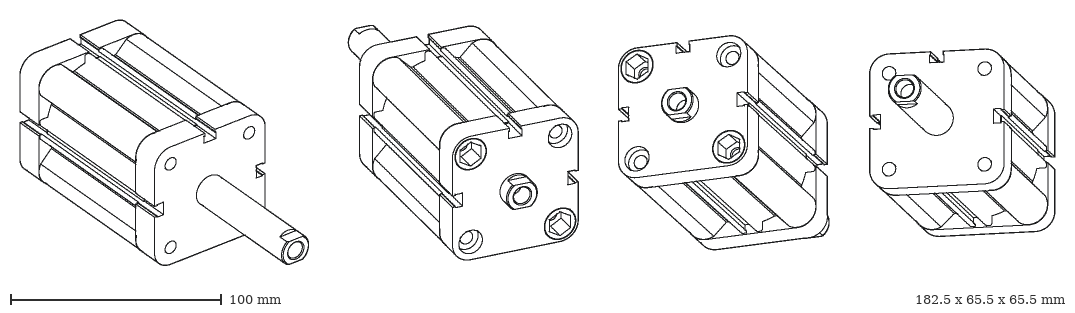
import cadquery as cq
import math

overall_length = 182.5
housing_width = 65.5
cap_length = 15.0
barrel_length = 76.6
rod_stub = 8.0

housing_start = -overall_length / 2 + rod_stub
barrel_start = housing_start + cap_length
barrel_end = barrel_start + barrel_length
housing_end = barrel_end + cap_length
half_width = housing_width / 2

bolt_spacing = 46.5
bolt_offset = bolt_spacing / 2
bolt_bore = 6.5
counterbore_diameter = 12.2
counterbore_depth = 5.0
cap_corner_radius = half_width - bolt_offset

screw_diameter = 15.9
screw_recess_diameter = 16.5
screw_length = 13.0
hex_across_flats = 11.0
hex_half_angle = 30.0
hex_depth = 11.0

cap_slot_opening = 6.0
barrel_slot_opening = 5.1
slot_width = 7.0
lip_thickness = 1.6
cap_slot_depth = 5.3
cap_slot_angles = (0, 90, -90)

barrel_radius = 28.0
barrel_corner_radius = 9.3
flute_edge = 19.2
flute_foot_outer = 12.8
flute_foot_inner = 11.7
rail_half_width = 5.5
rail_face = 32.1
rail_rounding = 1.1
lip_rounding = 0.4
rail_root_radius = 0.4
barrel_slot_floor = 28.0

rod_diameter = 16.0
flats_width = 12.8
flats_length = 6.0
flats_shoulder_angle = 15.0
rod_chamfer = 0.5
socket_diameter = 8.5
socket_depth = 11.0
socket_chamfer = 0.5
drill_point_angle = 118.0

plain_bolts = [(-bolt_offset, bolt_offset), (bolt_offset, -bolt_offset)]
screw_bolts = [(bolt_offset, bolt_offset), (-bolt_offset, -bolt_offset)]


def section_plane(x):
    return cq.Workplane("YZ", origin=(x, 0, 0))


def turned(point, quarter):
    """Turn a point of the top side about the axis by a number of quarter turns."""
    angle = math.radians(90 * quarter)
    along, outward = point
    return (
        along * math.cos(angle) - outward * math.sin(angle),
        along * math.sin(angle) + outward * math.cos(angle),
    )


def on_circle(radius, along):
    """Point of a circle about the axis, at a given place along the side."""
    return (along, math.sqrt(radius**2 - along**2))


def arc_middle(center, radius, along_sign, outward_sign):
    """Middle of the quarter arc in the quadrant with the given signs about its center."""
    reach = radius * math.sqrt(0.5)
    return (center[0] + along_sign * reach, center[1] + outward_sign * reach)


def make_cap(start):
    cap = section_plane(start).rect(housing_width, housing_width).extrude(cap_length)
    cap = cap.edges("|X").fillet(cap_corner_radius)
    opening_center = half_width - cap_slot_depth / 2
    pocket_depth = cap_slot_depth - lip_thickness
    pocket_center = half_width - lip_thickness - pocket_depth / 2
    opening = section_plane(start).center(0, opening_center).rect(cap_slot_opening, cap_slot_depth)
    pocket = section_plane(start).center(0, pocket_center).rect(slot_width, pocket_depth)
    slot = opening.extrude(cap_length).union(pocket.extrude(cap_length))
    for angle in cap_slot_angles:
        cap = cap.cut(slot.rotate((0, 0, 0), (1, 0, 0), angle))
    return cap


def make_barrel():
    boss_reach = math.sqrt(barrel_corner_radius**2 - (bolt_offset - flute_edge) ** 2)
    boss_edge = (flute_edge, bolt_offset + boss_reach)
    foot = on_circle(barrel_radius, flute_foot_inner)
    foot_edge = (flute_foot_outer, foot[1])
    wall_end = on_circle(barrel_radius, rail_half_width + rail_root_radius)
    wall_middle = on_circle(barrel_radius, (flute_foot_inner + wall_end[0]) / 2)
    rail_root = (rail_half_width, wall_end[1] + rail_root_radius)
    root_middle = arc_middle((wall_end[0], rail_root[1]), rail_root_radius, -1, -1)
    rail_side = (rail_half_width, rail_face - rail_rounding)
    rail_edge = (rail_half_width - rail_rounding, rail_face)
    rounding_middle = arc_middle((rail_edge[0], rail_side[1]), rail_rounding, 1, 1)
    lip_edge = (barrel_slot_opening / 2 + lip_rounding, rail_face)
    lip_side = (barrel_slot_opening / 2, rail_face - lip_rounding)
    lip_middle = arc_middle((lip_edge[0], lip_side[1]), lip_rounding, -1, 1)
    slot_points = [
        (barrel_slot_opening / 2, half_width - lip_thickness),
        (slot_width / 2, half_width - lip_thickness),
        (slot_width / 2, barrel_slot_floor),
    ]
    corner = bolt_offset + barrel_corner_radius * math.sqrt(0.5)

    outline = section_plane(barrel_start).moveTo(*boss_edge)
    for quarter in range(4):

        def right(point):
            return turned(point, quarter)

        def left(point):
            return turned((-point[0], point[1]), quarter)

        outline = (
            outline.lineTo(*right(foot_edge))
            .lineTo(*right(foot))
            .threePointArc(right(wall_middle), right(wall_end))
            .threePointArc(right(root_middle), right(rail_root))
            .lineTo(*right(rail_side))
            .threePointArc(right(rounding_middle), right(rail_edge))
            .lineTo(*right(lip_edge))
            .threePointArc(right(lip_middle), right(lip_side))
        )
        for point in slot_points:
            outline = outline.lineTo(*right(point))
        for point in reversed(slot_points):
            outline = outline.lineTo(*left(point))
        outline = (
            outline.lineTo(*left(lip_side))
            .threePointArc(left(lip_middle), left(lip_edge))
            .lineTo(*left(rail_edge))
            .threePointArc(left(rounding_middle), left(rail_side))
            .lineTo(*left(rail_root))
            .threePointArc(left(root_middle), left(wall_end))
            .threePointArc(left(wall_middle), left(foot))
            .lineTo(*left(foot_edge))
            .lineTo(*left(boss_edge))
            .threePointArc(left((corner, corner)), turned(boss_edge, quarter + 1))
        )
    return outline.close().extrude(barrel_length)


def make_housing():
    body = make_cap(housing_start).union(make_barrel()).union(make_cap(barrel_end))
    length = housing_end - housing_start
    start = section_plane(housing_start)
    body = body.cut(start.circle(rod_diameter / 2).extrude(length))
    body = body.cut(start.pushPoints(plain_bolts + screw_bolts).circle(bolt_bore / 2).extrude(length))
    body = body.cut(start.pushPoints(plain_bolts).circle(counterbore_diameter / 2).extrude(counterbore_depth))
    return body.cut(start.pushPoints(screw_bolts).circle(screw_recess_diameter / 2).extrude(screw_length))


def make_screw(position):
    start = section_plane(housing_start).center(*position)
    screw = start.circle(screw_diameter / 2).extrude(screw_length)
    corner_diameter = hex_across_flats / math.cos(math.radians(hex_half_angle))
    hexagon = start.transformed(rotate=(0, 0, hex_half_angle)).polygon(6, corner_diameter).extrude(hex_depth)
    return screw.cut(hexagon).cut(start.circle(bolt_bore / 2).extrude(screw_length))


def make_rod():
    rod = section_plane(-overall_length / 2).circle(rod_diameter / 2).extrude(overall_length)
    rod = rod.faces("<X or >X").chamfer(rod_chamfer)
    flat_height = flats_width / 2
    flat_end = flats_length - overall_length / 2
    cut_height = rod_diameter / 2 - flat_height
    shoulder_end = flat_end + cut_height * math.tan(math.radians(flats_shoulder_angle))
    flat = (
        cq.Workplane("XZ")
        .moveTo(-overall_length / 2, flat_height)
        .lineTo(flat_end, flat_height)
        .lineTo(shoulder_end, rod_diameter / 2)
        .lineTo(-overall_length / 2, rod_diameter / 2)
        .close()
        .extrude(rod_diameter / 2, both=True)
    )
    flats = flat.union(flat.mirror("XY"))
    rod = rod.cut(flats).cut(flats.mirror("YZ"))
    socket_radius = socket_diameter / 2
    point_length = socket_radius / math.tan(math.radians(drill_point_angle / 2))
    socket = (
        cq.Workplane("XY", origin=(-overall_length / 2, 0, 0))
        .polyline(
            [
                (0, 0),
                (0, socket_radius + socket_chamfer),
                (socket_chamfer, socket_radius),
                (socket_depth, socket_radius),
                (socket_depth + point_length, 0),
            ]
        )
        .close()
        .revolve(360, (0, 0, 0), (1, 0, 0))
    )
    return rod.cut(socket).cut(socket.mirror("YZ"))


housing = make_housing()
screws = [make_screw(position) for position in screw_bolts]
rod = make_rod()

result = cq.Compound.makeCompound([housing.val(), rod.val(), *[screw.val() for screw in screws]])